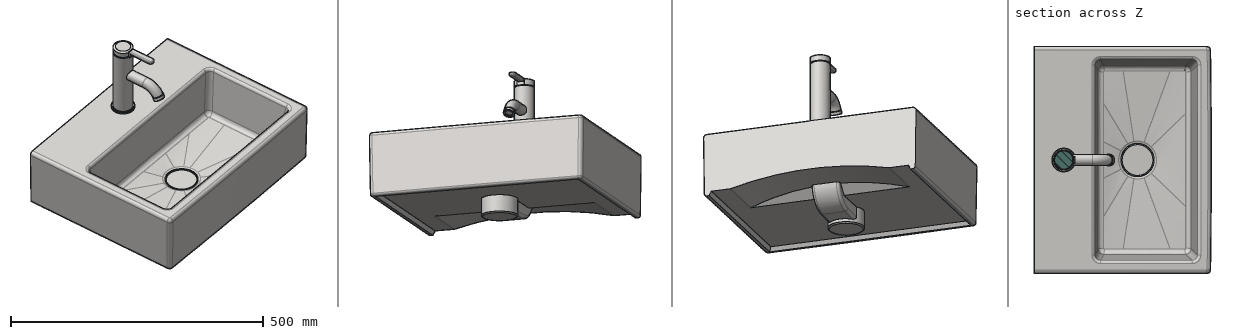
import cadquery as cq
import math


BASIN_DEPTH = 351.7
BASIN_WIDTH = 450.2
BASIN_HEIGHT = 130.0
FRONT_BOW = 1.8
SIDE_DRAFT = 0.8
CORNER_RADIUS = 8.0
TOP_EDGE_RADIUS = 7.0
BOTTOM_EDGE_RADIUS = 5.0

BOWL_BACK = 120.7
BOWL_FRONT = 324.8
BOWL_HALF_WIDTH = 199.6
BOWL_BACK_LEAN = 7.0
BOWL_FRONT_LEAN = 15.0
BOWL_SIDE_LEAN = 14.0
BOWL_WALL_DEPTH = 104.0
BOWL_CORNER_RADIUS = 11.0
BOWL_FLOOR_RADIUS = 10.3
BOWL_RIM_RADIUS = 6.5
FLOOR_LEDGE = 0.4
FLOOR_SLOPE_DEPTH = 8.0

DRAIN_X = 205.0
DRAIN_RADIUS = 37.5
DRAIN_WELL_RADIUS = 33.0
DRAIN_DISC_RADIUS = 30.5
DRAIN_STEP = 1.5
DRAIN_BOSS_RADIUS = 36.4
DRAIN_BOSS_BOTTOM = -157.5
DRAIN_BOSS_CHAMFER = 2.5

RIM_WIDTH = 12.0
RIM_LEAN = 5.0
RECESS_DEPTH = 8.5
EMBEDMENT = 3.0
ARCH_HALF_SPAN = 168.0
ARCH_RISE = 20.0
ARCH_LENGTH = 95.0

DUCT_BACK = 86.0
DUCT_TOP = -100.0
DUCT_BEND_END = (136.0, -147.0)
DUCT_BOTTOM_END = -150.5
DUCT_HALF_WIDTH = 29.5
DUCT_EDGE_RADIUS = 6.0

TAP_X = 58.7
FLANGE_DIAMETER = 47.0
FLANGE_HEIGHT = 3.8
FLANGE_CHAMFER = 0.8
COLUMN_DIAMETER = 40.0
COLUMN_TOP = 140.3
NECK_DIAMETER = 36.9
NECK_HEIGHT = 1.2
TAP_TOP = 155.0
CAP_TOP_DIAMETER = 30.45
CAP_TOP_STEP = 2.0

LEVER_TIP = 134.5
LEVER_WIDTH = 14.0
LEVER_HEIGHT = 7.7
LEVER_EDGE_RADIUS = 3.5
LEVER_TOP_RADIUS = 2.2
ROOT_LENGTH = 2.3
ROOT_HEIGHT = 12.0

SPOUT_DIAMETER = 22.0
SPOUT_Z = 90.0
SPOUT_BEND_START = 116.0
SPOUT_BEND_RADIUS = 34.5
SPOUT_BEND_ANGLE = 60.0
AERATOR_DIAMETER = 23.0
AERATOR_LENGTH = 7.5
AERATOR_GROOVE_DIAMETER = 20.0
AERATOR_GROOVE_LENGTH = 1.0
AERATOR_BORE_DIAMETER = 16.0
AERATOR_BORE_DEPTH = 3.0


def cylinder(x, radius, bottom, top):
    """Vertical cylinder on the symmetry plane."""
    return cq.Workplane("XY", origin=(x, 0, bottom)).circle(radius).extrude(top - bottom)


def basin_block():
    """Drafted block with a bowed front and a flat wall face."""
    half = BASIN_WIDTH / 2
    side_front = BASIN_DEPTH - FRONT_BOW
    overrun = 20.0
    block = (
        cq.Workplane("XY")
        .moveTo(-overrun, -half)
        .lineTo(side_front, -half)
        .threePointArc((BASIN_DEPTH, 0), (side_front, half))
        .lineTo(-overrun, half)
        .close()
        .extrude(-BASIN_HEIGHT, taper=SIDE_DRAFT)
    )
    behind_wall = cq.Workplane("XY").box(
        2 * overrun, 2 * BASIN_WIDTH, 3 * BASIN_HEIGHT
    ).translate((-overrun, 0, 0))
    block = block.cut(behind_wall)
    front_corners = cq.selectors.BoxSelector(
        (BASIN_DEPTH - 10, -BASIN_WIDTH, -BASIN_HEIGHT + 10),
        (BASIN_DEPTH + 10, BASIN_WIDTH, -10),
    )
    block = block.edges(front_corners).fillet(CORNER_RADIUS)
    block = block.faces(">Z").edges("not <X").fillet(TOP_EDGE_RADIUS)
    return block.faces("<Z").edges("not <X").fillet(BOTTOM_EDGE_RADIUS)


def bowl_outline(z, lean):
    """Rounded rectangle of the bowl; lean is 0 at the deck and 1 at the foot of the walls."""
    back = BOWL_BACK + lean * BOWL_BACK_LEAN
    front = BOWL_FRONT - lean * BOWL_FRONT_LEAN
    half = BOWL_HALF_WIDTH - lean * BOWL_SIDE_LEAN
    sketch = cq.Sketch().rect(front - back, 2 * half).vertices().fillet(BOWL_CORNER_RADIUS)
    return sketch.moved(cq.Location(cq.Vector((back + front) / 2, 0, z)))


def bowl_walls():
    walls = cq.Workplane("XY").placeSketch(
        bowl_outline(0, 0), bowl_outline(-BOWL_WALL_DEPTH, 1)
    ).loft(ruled=True)
    return walls.faces("<Z").edges().fillet(BOWL_FLOOR_RADIUS)


def floor_margin(lean):
    """Distance from the foot of a leaning wall, over its fillet and ledge, to the sloping floor."""
    tilt = math.atan2(lean, BOWL_WALL_DEPTH)
    return BOWL_FLOOR_RADIUS * math.tan(math.pi / 4 - tilt / 2) + FLOOR_LEDGE


def bowl_floor():
    """Funnel from the floor outline to the drain, creased along straight lines."""
    back = BOWL_BACK + BOWL_BACK_LEAN + floor_margin(BOWL_BACK_LEAN)
    front = BOWL_FRONT - BOWL_FRONT_LEAN - floor_margin(BOWL_FRONT_LEAN)
    half = BOWL_HALF_WIDTH - BOWL_SIDE_LEAN - floor_margin(BOWL_SIDE_LEAN)
    half_creases = [
        ((front, 92.0), 44.0),
        ((269.5, half), 70.0),
        ((176.6, half), 101.0),
        ((back, 112.0), 121.0),
        ((back, 36.0), 151.0),
    ]
    mirrored = [((x, -y), -angle) for (x, y), angle in reversed(half_creases)]
    creases = half_creases + mirrored
    drain_z = -BOWL_WALL_DEPTH - FLOOR_SLOPE_DEPTH

    def on_outline(point):
        return cq.Vector(point[0], point[1], -BOWL_WALL_DEPTH)

    def on_drain(angle):
        turn = math.radians(angle)
        return cq.Vector(
            DRAIN_X + DRAIN_RADIUS * math.cos(turn), DRAIN_RADIUS * math.sin(turn), drain_z
        )

    faces = []
    outline_edges = []
    drain_edges = []
    for i, (start, angle) in enumerate(creases):
        end, end_angle = creases[(i + 1) % len(creases)]
        sweep = (end_angle - angle) % 360
        drain_arc = cq.Edge.makeThreePointArc(
            on_drain(angle), on_drain(angle + sweep / 2), on_drain(end_angle)
        )
        drain_edges.append(drain_arc)
        if start[0] == end[0] or start[1] == end[1]:
            side = cq.Edge.makeLine(on_outline(start), on_outline(end))
            outline_edges.append(side)
            faces.append(cq.Face.makeRuledSurface(side, drain_arc))
        else:
            corner = (
                front if front in (start[0], end[0]) else back,
                math.copysign(half, start[1]),
            )
            sides = [
                cq.Edge.makeLine(on_outline(start), on_outline(corner)),
                cq.Edge.makeLine(on_outline(corner), on_outline(end)),
            ]
            outline_edges += sides
            borders = sides + [
                cq.Edge.makeLine(on_outline(end), on_drain(end_angle)),
                drain_arc,
                cq.Edge.makeLine(on_drain(angle), on_outline(start)),
            ]
            faces.append(cq.Face.makeNSidedSurface(borders, []))
    for edges in (outline_edges, drain_edges):
        faces.append(cq.Face.makeFromWires(cq.Wire.assembleEdges(edges)))
    return cq.Workplane(obj=cq.Solid.makeSolid(cq.Shell.makeShell(faces)).fix())


def drain_well():
    top = -BOWL_WALL_DEPTH - FLOOR_SLOPE_DEPTH
    lip = (
        cq.Workplane("XY", origin=(DRAIN_X, 0, top))
        .circle(DRAIN_RADIUS)
        .workplane(offset=-DRAIN_STEP)
        .circle(DRAIN_WELL_RADIUS)
        .loft()
    )
    disc = cylinder(DRAIN_X, DRAIN_DISC_RADIUS, top - 2 * DRAIN_STEP, top - DRAIN_STEP)
    return lip.union(disc)


def underside_recess():
    """Shallow recess with leaning walls inside the bottom rim, open at the wall face."""
    front = BASIN_DEPTH - RIM_WIDTH
    overrun = 20.0
    return (
        cq.Workplane("XY", origin=((front - overrun) / 2, 0, -BASIN_HEIGHT))
        .rect(front + overrun, BASIN_WIDTH - 2 * RIM_WIDTH)
        .extrude(RECESS_DEPTH, taper=math.degrees(math.atan2(RIM_LEAN, RECESS_DEPTH)))
    )


def wall_arch():
    """Arched opening in the wall face; its inner end slopes down to the recess."""
    ceiling = -BASIN_HEIGHT + RECESS_DEPTH
    inner_end = ARCH_LENGTH + ARCH_RISE
    arch = (
        cq.Workplane("YZ")
        .moveTo(-ARCH_HALF_SPAN, ceiling)
        .threePointArc((0, ceiling + ARCH_RISE), (ARCH_HALF_SPAN, ceiling))
        .close()
        .extrude(inner_end)
    )
    sloped_end = (
        cq.Workplane("XZ")
        .moveTo(0, ceiling)
        .lineTo(inner_end, ceiling)
        .lineTo(ARCH_LENGTH, ceiling + ARCH_RISE)
        .lineTo(0, ceiling + ARCH_RISE)
        .close()
        .extrude(ARCH_HALF_SPAN, both=True)
    )
    return arch.intersect(sloped_end)


def overflow_duct():
    """Duct that curves down from the arch and runs into the drain boss."""
    embedded_top = -BASIN_HEIGHT + RECESS_DEPTH + EMBEDMENT
    embedded_end = ARCH_LENGTH + ARCH_RISE + EMBEDMENT
    duct = (
        cq.Workplane("XZ", origin=(0, DUCT_HALF_WIDTH, 0))
        .moveTo(DRAIN_X, DUCT_BOTTOM_END)
        .lineTo(*DUCT_BEND_END)
        .tangentArcPoint((DUCT_BACK, DUCT_TOP), relative=False)
        .lineTo(embedded_end, DUCT_TOP)
        .lineTo(embedded_end, embedded_top)
        .lineTo(DRAIN_X, embedded_top)
        .close()
        .extrude(2 * DUCT_HALF_WIDTH)
    )
    lower_edges = cq.selectors.BoxSelector(
        (DUCT_BACK - 1, -BASIN_WIDTH, DUCT_BOTTOM_END - 5),
        (DRAIN_X - 1, BASIN_WIDTH, -BASIN_HEIGHT + 8),
    )
    return duct.edges(lower_edges).edges("not |Y").fillet(DUCT_EDGE_RADIUS)


def drain_boss():
    top = -BASIN_HEIGHT + RECESS_DEPTH + EMBEDMENT
    boss = cylinder(DRAIN_X, DRAIN_BOSS_RADIUS, DRAIN_BOSS_BOTTOM, top)
    return boss.faces("<Z").edges().chamfer(DRAIN_BOSS_CHAMFER)


def make_basin():
    body = basin_block().cut(bowl_walls())
    bowl_rim = cq.selectors.BoxSelector(
        (BOWL_BACK - 1, -BOWL_HALF_WIDTH - 1, -1), (BOWL_FRONT + 1, BOWL_HALF_WIDTH + 1, 1)
    )
    body = body.edges(bowl_rim).fillet(BOWL_RIM_RADIUS)
    body = body.cut(bowl_floor()).cut(drain_well())
    body = body.cut(underside_recess()).cut(wall_arch())
    return body.union(drain_boss()).union(overflow_duct())


def make_flange():
    flange = cylinder(TAP_X, FLANGE_DIAMETER / 2, 0, FLANGE_HEIGHT)
    return flange.faces(">Z").edges().chamfer(FLANGE_CHAMFER)


def make_column():
    return cylinder(TAP_X, COLUMN_DIAMETER / 2, FLANGE_HEIGHT, COLUMN_TOP)


def make_neck():
    return cylinder(TAP_X, NECK_DIAMETER / 2, COLUMN_TOP, COLUMN_TOP + NECK_HEIGHT)


def make_cap():
    cap = cylinder(TAP_X, COLUMN_DIAMETER / 2, COLUMN_TOP + NECK_HEIGHT, TAP_TOP)
    edge_width = (COLUMN_DIAMETER - CAP_TOP_DIAMETER) / 2
    return cap.faces(">Z").edges().chamfer(CAP_TOP_STEP, edge_width)


def make_lever():
    """Round-ended bar on a root block that hugs the cap."""
    tip_radius = LEVER_WIDTH / 2
    bar = (
        cq.Workplane("XY", origin=(0, 0, TAP_TOP - LEVER_HEIGHT))
        .moveTo(TAP_X, -tip_radius)
        .lineTo(LEVER_TIP - tip_radius, -tip_radius)
        .threePointArc((LEVER_TIP, 0), (LEVER_TIP - tip_radius, tip_radius))
        .lineTo(TAP_X, tip_radius)
        .close()
        .extrude(LEVER_HEIGHT)
    )
    bar = bar.faces("<Z").edges("not <X").fillet(LEVER_EDGE_RADIUS)
    bar = bar.faces(">Z").edges("not <X").fillet(LEVER_TOP_RADIUS)
    root = cq.Workplane("XY").box(
        COLUMN_DIAMETER / 2 + ROOT_LENGTH, LEVER_WIDTH, ROOT_HEIGHT, centered=(False, True, False)
    ).translate((TAP_X, 0, TAP_TOP - ROOT_HEIGHT - LEVER_TOP_RADIUS))
    return bar.union(root).cut(cylinder(TAP_X, COLUMN_DIAMETER / 2, 0, 2 * TAP_TOP))


def make_spout():
    """Horizontal pipe that bends down; it butts against the column."""
    pivot = (SPOUT_BEND_START, 0, SPOUT_Z)
    straight = (
        cq.Workplane("YZ", origin=(TAP_X, 0, SPOUT_Z))
        .circle(SPOUT_DIAMETER / 2)
        .extrude(SPOUT_BEND_START - TAP_X)
    )
    bend = (
        cq.Workplane("YZ", origin=pivot)
        .circle(SPOUT_DIAMETER / 2)
        .revolve(SPOUT_BEND_ANGLE, (-1, -SPOUT_BEND_RADIUS), (1, -SPOUT_BEND_RADIUS))
    )
    return straight.union(bend, clean=False).cut(make_column())


def make_aerator():
    """Outlet nozzle with a groove next to the spout and a shallow bore."""
    turn = math.radians(SPOUT_BEND_ANGLE)
    outlet = cq.Plane(
        origin=(
            SPOUT_BEND_START + SPOUT_BEND_RADIUS * math.sin(turn),
            0,
            SPOUT_Z - SPOUT_BEND_RADIUS * (1 - math.cos(turn)),
        ),
        xDir=(0, 1, 0),
        normal=(math.cos(turn), 0, -math.sin(turn)),
    )
    return (
        cq.Workplane(outlet)
        .circle(AERATOR_GROOVE_DIAMETER / 2)
        .extrude(AERATOR_GROOVE_LENGTH)
        .faces(cq.selectors.DirectionMinMaxSelector(outlet.zDir))
        .workplane()
        .circle(AERATOR_DIAMETER / 2)
        .extrude(AERATOR_LENGTH - AERATOR_GROOVE_LENGTH)
        .faces(cq.selectors.DirectionMinMaxSelector(outlet.zDir))
        .workplane()
        .hole(AERATOR_BORE_DIAMETER, AERATOR_BORE_DEPTH)
    )


basin = make_basin()
flange = make_flange()
column = make_column()
neck = make_neck()
cap = make_cap()
lever = make_lever()
spout = make_spout()
aerator = make_aerator()

result = cq.Compound.makeCompound([
    basin.val(),
    flange.val(),
    column.val(),
    neck.val(),
    cap.val(),
    lever.val(),
    spout.val(),
    aerator.val(),
])